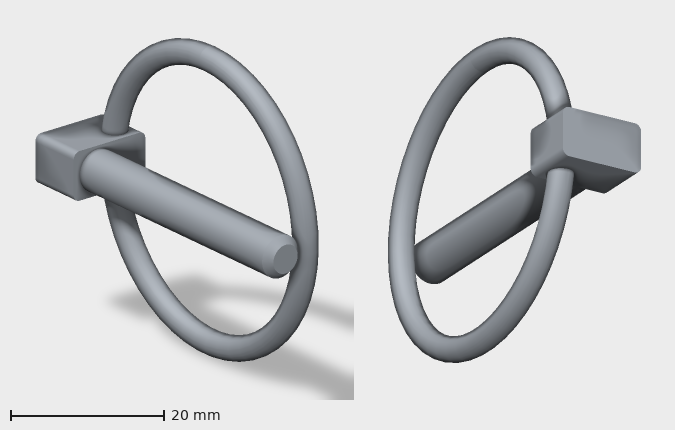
import cadquery as cq

head_length = 8.0
head_width = 12.0
head_height = 7.0
head_edge_radius = 1.0

overall_length = 47.0
pin_diameter = 6.0
pin_chamfer_length = 1.15
pin_chamfer_depth = 1.0
pin_y = -1.97

ring_outer_diameter = 43.4
wire_diameter = 3.5
ring_x = 25.0
ring_y = 3.0


def make_head():
    block = cq.Workplane("XY").box(
        head_length, head_width, head_height, centered=(False, True, True)
    )
    return block.edges("|X").fillet(head_edge_radius)


def make_pin():
    pin = (
        cq.Workplane("YZ")
        .center(pin_y, 0)
        .circle(pin_diameter / 2)
        .extrude(overall_length)
    )
    return pin.faces(">X").chamfer(pin_chamfer_length, pin_chamfer_depth)


def make_ring():
    centreline_radius = (ring_outer_diameter - wire_diameter) / 2
    ring = cq.Solid.makeTorus(
        centreline_radius,
        wire_diameter / 2,
        cq.Vector(ring_x, ring_y, 0),
        cq.Vector(0, 1, 0),
    )
    return cq.Workplane(obj=ring)


result = make_head().union(make_pin()).union(make_ring())